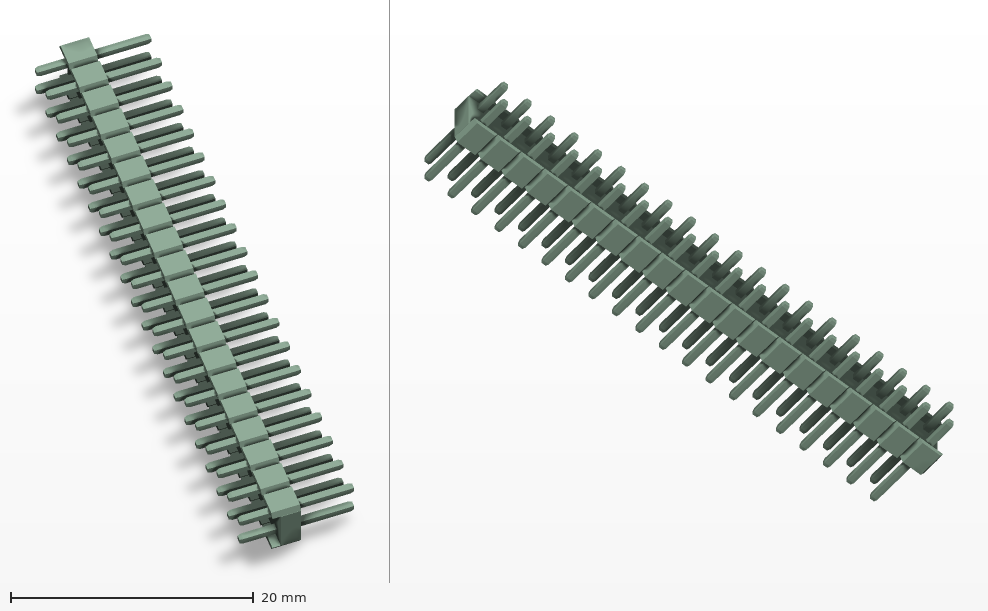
import cadquery as cq

columns = 20
pitch = 2.55
length = columns * pitch
height = 2 * pitch

pin_length = 10.0
pin_width = 0.6
rear_pin_reach = pin_length / 2
front_pin_reach = pin_length / 4
tip_length = 0.3
tip_width = 0.45

body_depth = 1.8
flange_depth = pin_length - rear_pin_reach - front_pin_reach
flange_thickness = 0.5
flange_root_width = 2.5
flange_crest_width = 1.95

body_height = height - 2 * flange_thickness
column_centres = [(index + 0.5) * pitch - length / 2 for index in range(columns)]
row_centres = [-pitch / 2, pitch / 2]


def make_body():
    """Plain bar that carries both rows of pins."""
    return cq.Workplane("XY").box(length, body_depth, body_height).translate((0, -body_depth / 2, 0))


def make_flange(side):
    """Trapezoid rib above (side = 1) or below (side = -1) one column, overhanging the front."""
    root = side * body_height / 2
    crest = side * height / 2
    outline = [
        (-flange_root_width / 2, root),
        (flange_root_width / 2, root),
        (flange_crest_width / 2, crest),
        (-flange_crest_width / 2, crest),
    ]
    return cq.Workplane("XZ").polyline(outline).close().extrude(flange_depth)


def make_pin():
    """Square pin along Y with a tapered tip at each end."""
    rear_end = rear_pin_reach
    front_end = -flange_depth - front_pin_reach
    shaft_length = rear_end - front_end - 2 * tip_length
    shaft_start = (0, rear_end - tip_length, 0)
    shaft = cq.Workplane("XZ", origin=shaft_start).rect(pin_width, pin_width).extrude(shaft_length)
    rear_tip = make_tip(rear_end - tip_length, 1)
    front_tip = make_tip(front_end + tip_length, -1)
    return shaft.union(rear_tip).union(front_tip)


def make_tip(base_y, direction):
    """Pyramid frustum that narrows from base_y along +Y (direction = 1) or -Y (direction = -1)."""
    return (
        cq.Workplane("XZ", origin=(0, base_y, 0))
        .rect(pin_width, pin_width)
        .workplane(offset=-direction * tip_length)
        .rect(tip_width, tip_width)
        .loft(ruled=True)
    )


result = make_body()
pin = make_pin()
flanges = [make_flange(side) for side in (-1, 1)]

for x in column_centres:
    for flange in flanges:
        result = result.union(flange.translate((x, 0, 0)))
    for z in row_centres:
        result = result.union(pin.translate((x, 0, z)))